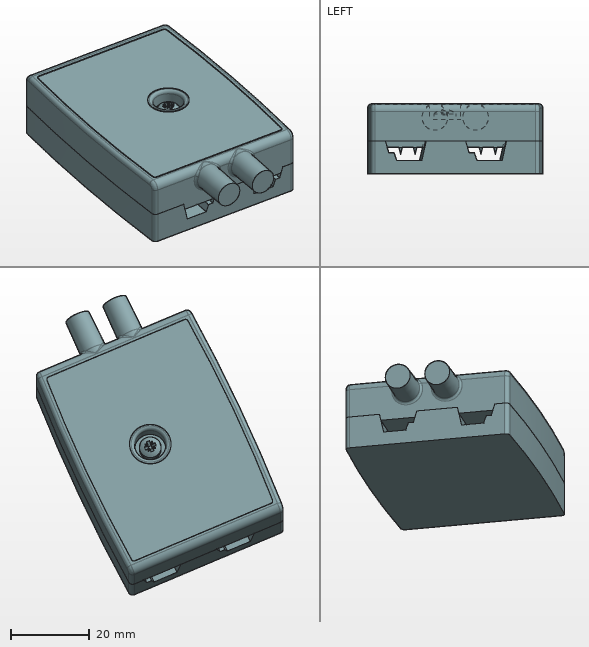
import cadquery as cq
import math

length = 60.0
width = 44.95
height = 18.0
side_bow = 0.9
parting_z = 8.5
side_radius = 1.1
end_radius = 2.0

rim_width = 0.7
panel_depth = 0.2
panel_corner_radius = 0.7

well_y = 2.65
well_diameter = 8.0
well_depth = 4.0
well_mouth_radius = 0.9
ring_diameter = 10.65

head_diameter = 5.6
head_rim_height = 1.4
dome_height = 1.1
head_height = head_rim_height + dome_height
recess_depth = 1.4
cross_span = 3.5
cross_width = 0.85
notch_span = 3.35
notch_width = 0.2

overall_length = 70.0
sleeve_length = overall_length - length
sleeve_root_diameter = 6.9
sleeve_tip_diameter = 6.6
sleeve_spacing = 10.4
sleeve_z = 14.5
sleeve_fillet = 0.6

channel_spacing = 20.6
channel_first_y = 7.4
channel_top_width = 10.5
channel_lean = 1.1
channel_depth = 5.0
ledge_depth = 3.0
ledge_width = 1.3
ledge_lean = 0.9
step_lean = 0.7
channel_narrowing = 0.6
channel_offsets = (0, -channel_spacing)

tongue_depth = 1.7
tongue_setback = 20.0
spike_length = 1.8
spike_diameter = 0.9
spike_offsets = (2.9, 6.6)


def bowed_outline(outline_length, outline_width, bow, z):
    """Outline with straight ends and two arc sides that bulge out by the bow."""
    end_x = outline_length / 2
    middle_y = outline_width / 2
    corner_y = middle_y - bow
    return (
        cq.Workplane("XY", origin=(0, 0, z))
        .moveTo(-end_x, -corner_y)
        .threePointArc((0, -middle_y), (end_x, -corner_y))
        .lineTo(end_x, corner_y)
        .threePointArc((0, middle_y), (-end_x, corner_y))
        .close()
    )


def channel_profile(x, narrowing):
    """Stepped channel section; the narrowing moves its -Y wall inwards."""
    right_top = channel_first_y + narrowing
    right_bottom = right_top + channel_lean
    left_top = channel_first_y + channel_top_width
    ledge_outer = left_top - ledge_lean
    ledge_inner = ledge_outer - ledge_width
    left_bottom = ledge_inner - step_lean
    points = [
        (right_top, parting_z),
        (right_bottom, parting_z - channel_depth),
        (left_bottom, parting_z - channel_depth),
        (ledge_inner, parting_z - ledge_depth),
        (ledge_outer, parting_z - ledge_depth),
        (left_top, parting_z),
    ]
    return cq.Wire.makePolygon([cq.Vector(x, y, z) for y, z in points], close=True)


def channel(offset_y):
    """Full-length channel volume that narrows towards the +X end."""
    near_section = channel_profile(-length / 2, 0)
    far_section = channel_profile(length / 2, channel_narrowing)
    volume = cq.Solid.makeLoft([near_section, far_section], True)
    return cq.Workplane(volume).translate((0, offset_y, 0))


def tongue(offset_y):
    """Plug in the upper part of a channel, from the setback to the +X end, with its spikes."""
    tongue_length = length - tongue_setback
    slab = (
        cq.Workplane("XY", origin=(tongue_setback / 2, 0, parting_z))
        .box(tongue_length, width, 2 * tongue_depth)
    )
    body = channel(offset_y).intersect(slab)
    for spike_offset in spike_offsets:
        spike = cq.Solid.makeCone(
            spike_diameter / 2,
            0,
            spike_length,
            pnt=cq.Vector(0, channel_first_y + spike_offset + offset_y, parting_z - tongue_depth),
            dir=cq.Vector(0, 0, -1),
        )
        body = body.union(cq.Workplane(spike))
    return body


def make_base():
    """Lower half of the housing with the two cable channels."""
    base = bowed_outline(length, width, side_bow, 0).extrude(parting_z)
    base = base.edges("|Z").fillet(side_radius)
    for offset_y in channel_offsets:
        base = base.cut(channel(offset_y))
    return base


def cover_shell():
    """Upper half of the housing, more strongly rounded along its two ends."""
    shell = bowed_outline(length, width, side_bow, parting_z).extrude(height - parting_z)
    shell = shell.faces(">Z").edges("|Y").fillet(end_radius)
    bottom_edges = cq.selectors.BoxSelector(
        (-length, -width, parting_z - side_radius / 2),
        (length, width, parting_z + side_radius / 2),
    )
    side_edges = shell.edges("not |Y").edges(cq.selectors.InverseSelector(bottom_edges))
    return side_edges.fillet(side_radius)


def add_sleeves(cover):
    """Join both sleeves to the cover; each tapers from the end wall outwards."""
    end_x = length / 2
    root_radius = sleeve_root_diameter / 2
    for side in (-1, 1):
        centre_y = side * sleeve_spacing / 2
        root = (
            cq.Workplane("YZ", origin=(end_x - end_radius, centre_y, sleeve_z))
            .circle(root_radius)
            .extrude(end_radius)
        )
        taper = cq.Solid.makeCone(
            root_radius,
            sleeve_tip_diameter / 2,
            sleeve_length,
            pnt=cq.Vector(end_x, centre_y, sleeve_z),
            dir=cq.Vector(1, 0, 0),
        )
        cover = cover.union(root.union(cq.Workplane(taper)))
    return fillet_sleeve_roots(cover)


def fillet_sleeve_roots(cover):
    """Round the curved edges where the sleeves meet the end wall and its rounding."""
    end_x = length / 2
    half_span = (sleeve_spacing + sleeve_root_diameter) / 2
    lowest_z = sleeve_z - sleeve_root_diameter / 2
    end_zone = cq.selectors.BoxSelector(
        (end_x - end_radius, -half_span, lowest_z),
        (end_x + sleeve_fillet, half_span, height),
        boundingbox=False,
    )
    return cover.edges(end_zone).edges("%BSPLINE").fillet(sleeve_fillet)


def panel_recess():
    """Shallow recess inside the top rim that leaves the ring around the well."""
    panel_length = length - 2 * (end_radius + rim_width)
    panel_width = width - 2 * (side_radius + rim_width)
    recess = bowed_outline(panel_length, panel_width, side_bow, height - panel_depth).extrude(panel_depth)
    recess = recess.edges("|Z").fillet(panel_corner_radius)
    ring = cq.Workplane("XY", origin=(0, well_y, 0)).circle(ring_diameter / 2).extrude(height)
    return recess.cut(ring)


def screw_well():
    """Round well whose mouth is widened by a convex rounding."""
    radius = well_diameter / 2
    mouth = radius + well_mouth_radius
    bend = well_mouth_radius * math.sqrt(0.5)
    return (
        cq.Workplane("XZ")
        .moveTo(0, height - well_depth)
        .lineTo(radius, height - well_depth)
        .lineTo(radius, height - well_mouth_radius)
        .threePointArc((mouth - bend, height - well_mouth_radius + bend), (mouth, height))
        .lineTo(0, height)
        .close()
        .revolve(360, (0, 0, 0), (0, 1, 0))
        .translate((0, well_y, 0))
    )


def make_cover():
    """Upper housing half with sleeves, top panel, screw well and channel tongues."""
    cover = add_sleeves(cover_shell())
    cover = cover.cut(panel_recess()).cut(screw_well())
    for offset_y in channel_offsets:
        cover = cover.union(tongue(offset_y))
    return cover


def recess_blade(span, blade_width, angle):
    """Upright wedge whose ends slope in to the cross width at the bottom of the recess."""
    top_z = head_height
    bottom_z = head_height - recess_depth
    return (
        cq.Workplane("XZ")
        .polyline([
            (-span / 2, top_z),
            (span / 2, top_z),
            (cross_width / 2, bottom_z),
            (-cross_width / 2, bottom_z),
        ])
        .close()
        .extrude(blade_width / 2, both=True)
        .rotate((0, 0, 0), (0, 0, 1), angle)
    )


def make_screw():
    """Domed screw head that rests on the floor of the well."""
    head_radius = head_diameter / 2
    dome_radius = (head_radius ** 2 + dome_height ** 2) / (2 * dome_height)
    ball = cq.Workplane("XY", origin=(0, 0, head_height - dome_radius)).sphere(dome_radius)
    screw = ball.intersect(cq.Workplane("XY").circle(head_radius).extrude(head_height))
    for angle in (0, 90):
        screw = screw.cut(recess_blade(cross_span, cross_width, angle))
    for angle in (45, 135):
        screw = screw.cut(recess_blade(notch_span, notch_width, angle))
    return screw.translate((0, well_y, height - well_depth))


base = make_base()
cover = make_cover()
screw = make_screw()

result = cq.Compound.makeCompound([base.val(), cover.val(), screw.val()])